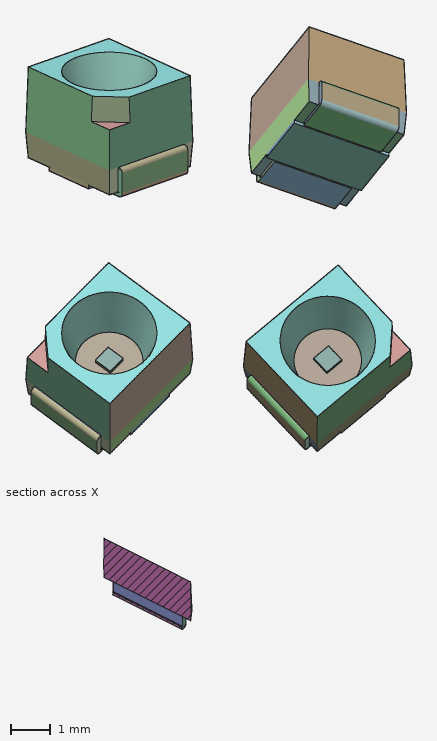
import cadquery as cq

overall_length = 3.5
overall_height = 2.6

body_length = 3.2
body_width = 2.8
taper_inset = 0.047
sheet_thickness = 0.1
parting_height = 0.8

bowl_top_diameter = 2.4
bowl_floor_diameter = 1.7
bowl_depth = 1.4
bowl_floor_height = overall_height - bowl_depth
chip_side = 0.5
chip_height = 0.1

notch_leg = 0.75
notch_depth = 0.7

lead_width = 2.2
lead_corner_radius = 0.12
lead_overlap = 0.005
pad_length = 1.5
pad_gap = 0.04


def tapered_half(end_height):
    """Half of the body, from the parting plane to the given end height."""
    return (
        cq.Workplane("XY", origin=(0, 0, parting_height))
        .rect(body_length, body_width)
        .workplane(offset=end_height - parting_height)
        .rect(body_length - 2 * taper_inset, body_width - 2 * taper_inset)
        .loft(ruled=True)
    )


def reflector_bowl():
    return (
        cq.Workplane("XY", origin=(0, 0, bowl_floor_height))
        .circle(bowl_floor_diameter / 2)
        .workplane(offset=bowl_depth)
        .circle(bowl_top_diameter / 2)
        .loft(ruled=True)
    )


def chip():
    return (
        cq.Workplane("XY", origin=(0, 0, bowl_floor_height))
        .rect(chip_side, chip_side)
        .extrude(chip_height)
    )


def polarity_notch():
    """Triangular prism over the +X, -Y corner of the top."""
    corner_x = body_length / 2
    corner_y = -body_width / 2
    return (
        cq.Workplane("XY", origin=(0, 0, overall_height - notch_depth))
        .moveTo(corner_x, corner_y)
        .lineTo(corner_x, corner_y + notch_leg)
        .lineTo(corner_x - notch_leg, corner_y)
        .close()
        .extrude(notch_depth)
    )


def right_lead():
    """L-shaped lead at the +X end, rounded on its two outer corners."""
    outer_x = overall_length / 2
    wall_x = body_length / 2 - lead_overlap
    inner_x = pad_length / 2 + pad_gap
    return (
        cq.Workplane("XZ")
        .moveTo(inner_x, 0)
        .lineTo(outer_x, 0)
        .lineTo(outer_x, parting_height)
        .lineTo(wall_x, parting_height)
        .lineTo(wall_x, sheet_thickness)
        .lineTo(inner_x, sheet_thickness)
        .close()
        .extrude(lead_width / 2, both=True)
        .edges("|Y and >X")
        .fillet(lead_corner_radius)
    )


def thermal_pad():
    pad_width = body_width - 2 * taper_inset
    return cq.Workplane("XY").rect(pad_length, pad_width).extrude(sheet_thickness)


body = tapered_half(overall_height).union(tapered_half(sheet_thickness))
body = body.cut(reflector_bowl()).cut(polarity_notch()).union(chip())

lead = right_lead()
result = body.union(thermal_pad()).union(lead).union(lead.mirror("YZ"))